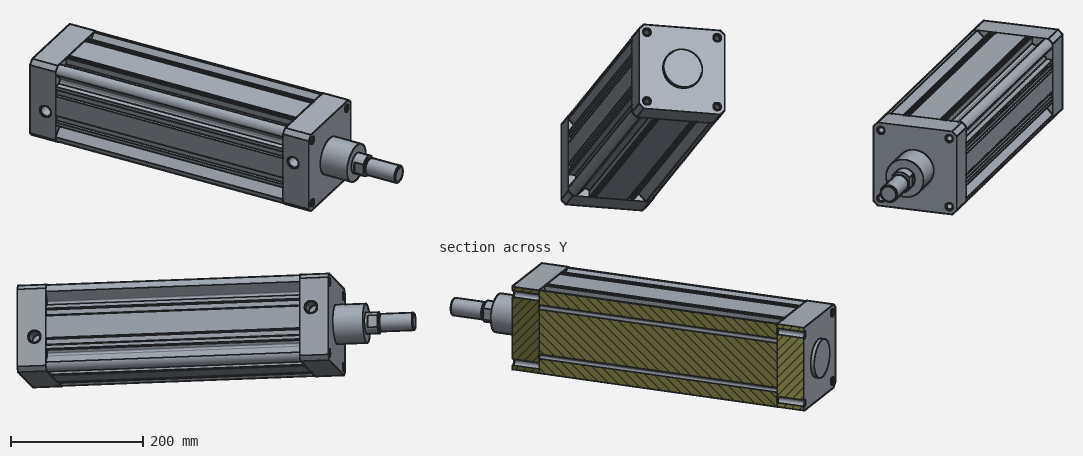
import cadquery as cq
import math

total_length = 605.0
rear_spigot_length = 6.0
cap_length = 44.0
barrel_length = 391.0
boss_length = 46.0
rear_cap_start = rear_spigot_length
barrel_start = rear_cap_start + cap_length
front_cap_start = barrel_start + barrel_length
front_cap_end = front_cap_start + cap_length

cap_width = 134.0
cap_corner_radius = 89.5
boss_radius = 60.0 / 2
screw_pitch = 109.5
screw_offset = screw_pitch / 2
screw_hole_radius = 4.55
screw_chamfer = 2.0
port_radius = 8.5
port_chamfer = 1.5
port_depth = 30.0
port_inset = 26.5
port_height = 14.5

barrel_core_radius = 66.0
ear_radius = 12.0
ear_half_width = 17.5 / 2
ear_root_radius = 3.5
panel_height = cap_width / 2
panel_half_width = 34.0
groove_depth = 3.0
side_groove_slope = 2.0
side_groove_outer = 28.5
side_groove_inner = 17.0
top_groove_outer = 30.0
top_groove_inner = 25.0

rod_radius = 16.5
rod_shoulder = 550.5
flats_start = 535.5
flats_width = 27.0
neck_length = 2.0
thread_radius = 27.0 / 2
thread_chamfer = 2.0


def plane_at(x):
    """Plane facing +X at station x; local x is Y and local y is Z."""
    return cq.Workplane("YZ", origin=(x, 0, 0))


def cylinder(start, length, radius):
    return plane_at(start).circle(radius).extrude(length)


def make_hole(base, direction, radius, depth, chamfer):
    """Cutter for a hole from point base along direction, chamfered at its mouth."""
    base = cq.Vector(*base)
    direction = cq.Vector(*direction)
    bore = cq.Solid.makeCylinder(radius, depth, base, direction)
    mouth = cq.Solid.makeCone(radius + chamfer, radius, chamfer, base, direction)
    return cq.Workplane(bore).union(cq.Workplane(mouth))


def make_cap(start, outer_face, inward, port_z):
    """Square end block with turned corners, screw holes and a port on the -Y side.

    outer_face is the X station of the free face; inward is +1 or -1 along X from there.
    """
    block = plane_at(start).rect(cap_width, cap_width).extrude(cap_length)
    cap = block.intersect(cylinder(start, cap_length, cap_corner_radius))
    for screw_y in (-screw_offset, screw_offset):
        for screw_z in (-screw_offset, screw_offset):
            mouth = (outer_face, screw_y, screw_z)
            cap = cap.cut(make_hole(mouth, (inward, 0, 0), screw_hole_radius, cap_length, screw_chamfer))
    port_mouth = (outer_face + inward * port_inset, -cap_width / 2, port_z)
    return cap.cut(make_hole(port_mouth, (0, 1, 0), port_radius, port_depth, port_chamfer))


def make_rear_cap():
    cap = make_cap(rear_cap_start, rear_cap_start, 1, -port_height)
    return cap.union(cylinder(0, rear_spigot_length, boss_radius))


def make_front_cap():
    cap = make_cap(front_cap_start, front_cap_end, -1, port_height)
    cap = cap.union(cylinder(front_cap_end, boss_length, boss_radius))
    return cap.cut(cylinder(front_cap_start, cap_length + boss_length, rod_radius))


def make_ear():
    """Diagonal rib in the +Y +Z corner: rounded end, flared into the core by root arcs."""
    tip_center = math.sqrt(2) * screw_offset
    tip_u = tip_center + math.sqrt(ear_radius**2 - ear_half_width**2)
    root_center_v = ear_half_width + ear_root_radius
    root_center_u = math.sqrt((barrel_core_radius + ear_root_radius)**2 - root_center_v**2)
    core_share = barrel_core_radius / (barrel_core_radius + ear_root_radius)
    foot_u = root_center_u * core_share
    foot_v = root_center_v * core_share
    foot_angle = math.atan2(foot_v - root_center_v, foot_u - root_center_u)
    middle_angle = (foot_angle - math.pi / 2) / 2
    middle_u = root_center_u + ear_root_radius * math.cos(middle_angle)
    middle_v = root_center_v + ear_root_radius * math.sin(middle_angle)
    ear = (
        plane_at(barrel_start)
        .moveTo(0, -foot_v)
        .lineTo(foot_u, -foot_v)
        .threePointArc((middle_u, -middle_v), (root_center_u, -ear_half_width))
        .lineTo(tip_u, -ear_half_width)
        .threePointArc((tip_center + ear_radius, 0), (tip_u, ear_half_width))
        .lineTo(root_center_u, ear_half_width)
        .threePointArc((middle_u, middle_v), (foot_u, foot_v))
        .lineTo(0, foot_v)
        .close()
        .extrude(barrel_length)
    )
    return ear.rotate((0, 0, 0), (1, 0, 0), 45)


def make_groove(inner, outer, slope):
    """Groove along the +Z panel from Y inner to outer; slope narrows its floor at each side."""
    floor = panel_height - groove_depth
    return (
        plane_at(barrel_start)
        .moveTo(inner, panel_height)
        .lineTo(inner + slope, floor)
        .lineTo(outer - slope, floor)
        .lineTo(outer, panel_height)
        .close()
        .extrude(barrel_length)
    )


def make_barrel():
    """Extruded tube profile: round core, four ears and four grooved flat panels."""
    barrel = cylinder(barrel_start, barrel_length, barrel_core_radius)
    panels = plane_at(barrel_start).rect(2 * panel_half_width, 2 * panel_height).extrude(barrel_length)
    ear = make_ear()
    side_groove = make_groove(side_groove_inner, side_groove_outer, side_groove_slope)
    top_groove = make_groove(top_groove_inner, top_groove_outer, 0)
    for angle in (0, 90, 180, 270):
        barrel = barrel.union(ear.rotate((0, 0, 0), (1, 0, 0), angle))
    for angle in (0, 90):
        barrel = barrel.union(panels.rotate((0, 0, 0), (1, 0, 0), angle))
    for panel_angle, groove in ((0, top_groove), (90, side_groove), (180, top_groove), (270, side_groove)):
        for cutter in (groove, groove.mirror("XZ")):
            barrel = barrel.cut(cutter.rotate((0, 0, 0), (1, 0, 0), panel_angle))
    return barrel


def make_rod():
    """Piston rod with wrench flats on the Y sides, a relief neck and a plain thread end."""
    thread_start = rod_shoulder + neck_length
    shank = cylinder(front_cap_start, rod_shoulder - front_cap_start, rod_radius)
    flats_length = rod_shoulder - flats_start
    for side in (-1, 1):
        waste = cq.Workplane("XY").box(flats_length, flats_width, 2 * rod_radius)
        shank = shank.cut(waste.translate((flats_start + flats_length / 2, side * flats_width, 0)))
    neck = cylinder(rod_shoulder, neck_length, thread_radius - thread_chamfer)
    thread = cylinder(thread_start, total_length - thread_start, thread_radius)
    thread = thread.faces("<X or >X").chamfer(thread_chamfer)
    return shank.union(neck).union(thread)


rear_cap = make_rear_cap()
barrel = make_barrel()
front_cap = make_front_cap()
rod = make_rod()

result = cq.Compound.makeCompound([rear_cap.val(), barrel.val(), front_cap.val(), rod.val()])